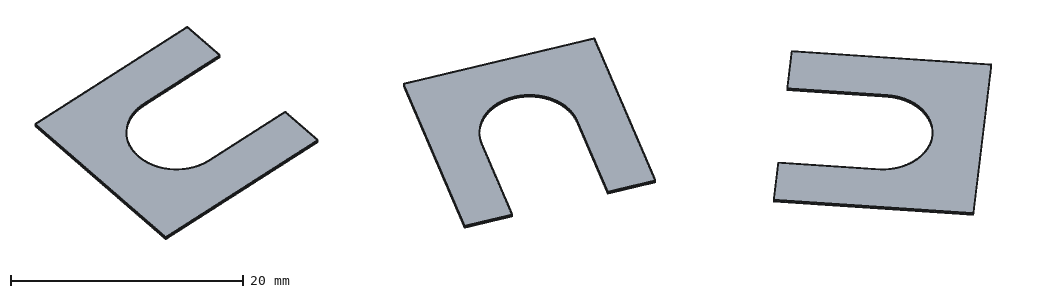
import cadquery as cq

side = 17.27
thickness = 0.25

slot_width = side / 2
slot_radius = slot_width / 2
open_edge = side / 2

plate = cq.Workplane("XY").box(side, side, thickness)

slot = (
    cq.Workplane("XY")
    .moveTo(-slot_radius, open_edge)
    .lineTo(-slot_radius, 0)
    .threePointArc((0, -slot_radius), (slot_radius, 0))
    .lineTo(slot_radius, open_edge)
    .close()
    .extrude(thickness, both=True)
)

result = plate.cut(slot)